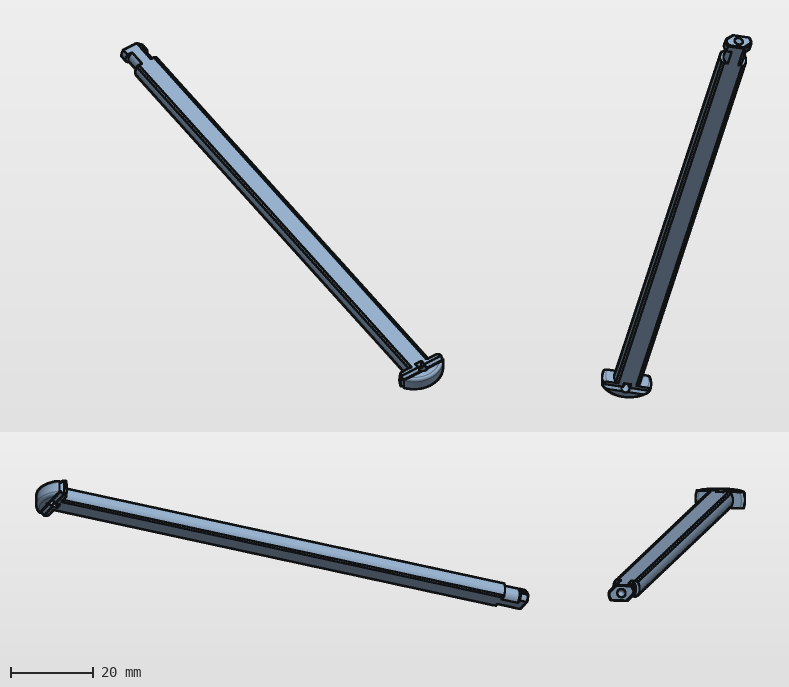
import cadquery as cq
import math

length = 128.8
thickness = 4.0
half_thickness = thickness / 2

shaft_diameter = 6.6
shaft_edge_chamfer = 0.4

tip_length = 2.0
tip_end_chamfer = 0.3
neck_end = 6.3
neck_diameter = 4.8
dimple_diameter = 2.0
dimple_cone_angle = 90

tip_relief_flats = [(45, neck_diameter), (67.5, 5.8)]

rim_start = 123.7
rim_thickness = 0.9
rim_end = rim_start + rim_thickness
rim_diameter = 12.2
rim_fillet = 0.8
dome_width = 11.6
dome_arc_start = 125.8
dome_edge_fillet = 0.8

groove_x = 125.5
groove_depth = 0.8
cross_hole_diameter = 2.0

recess_end = 123.5
recess_width = 1.8
recess_depth = 1.2
recess_wall_angle = 30


def x_cylinder(start, end, diameter):
    return cq.Workplane("YZ", origin=(start, 0, 0)).circle(diameter / 2).extrude(end - start)


def flattened(body):
    """Keep the part of a body that lies between the two flat Z faces."""
    slab = cq.Workplane("XY").box(length, rim_diameter, thickness).translate((length / 2, 0, 0))
    return body.intersect(slab)


def make_tip():
    tip = flattened(x_cylinder(0, tip_length, shaft_diameter))
    for angle, width_across in tip_relief_flats:
        relief_slab = (
            cq.Workplane("YZ")
            .rect(2 * shaft_diameter, width_across)
            .extrude(tip_length)
            .rotate((0, 0, 0), (1, 0, 0), -angle)
        )
        tip = tip.intersect(relief_slab)
    return tip.faces("<X").chamfer(tip_end_chamfer)


def make_neck():
    return flattened(x_cylinder(tip_length, neck_end, neck_diameter))


def make_shaft():
    shaft = flattened(x_cylinder(neck_end, rim_end, shaft_diameter))
    return shaft.edges("|X").chamfer(shaft_edge_chamfer)


def make_rim():
    rim = x_cylinder(rim_start, rim_end, rim_diameter)
    return flattened(rim.faces("<X").edges().fillet(rim_fillet))


def make_dome():
    half_width = dome_width / 2
    dome = (
        cq.Workplane("XY", origin=(0, 0, -half_thickness))
        .moveTo(rim_end, -half_width)
        .lineTo(dome_arc_start, -half_width)
        .threePointArc((length, 0), (dome_arc_start, half_width))
        .lineTo(rim_end, half_width)
        .close()
        .extrude(thickness)
    )
    return dome.faces("|Z").edges("%CIRCLE").fillet(dome_edge_fillet)


def make_groove():
    """V groove cutter for the +Z flat, with walls at 45 degrees."""
    return (
        cq.Workplane("XZ", origin=(0, rim_diameter / 2, 0))
        .moveTo(groove_x - groove_depth, half_thickness)
        .lineTo(groove_x + groove_depth, half_thickness)
        .lineTo(groove_x, half_thickness - groove_depth)
        .close()
        .extrude(rim_diameter)
    )


def make_recess():
    """Recess cutter for the +Z flat, with sloping walls."""
    recess_length = groove_x - recess_end
    return (
        cq.Workplane("XY", origin=(recess_end + recess_length / 2, 0, half_thickness))
        .rect(recess_length, recess_width)
        .extrude(-recess_depth, taper=recess_wall_angle)
    )


def make_cross_hole():
    return (
        cq.Workplane("XY", origin=(groove_x, 0, -half_thickness))
        .circle(cross_hole_diameter / 2)
        .extrude(thickness)
    )


def make_dimple():
    """Conical centre dimple in the end of the tip."""
    radius = dimple_diameter / 2
    depth = radius / math.tan(math.radians(dimple_cone_angle / 2))
    half_section = cq.Workplane("XY").polyline([(0, 0), (0, radius), (depth, 0)]).close()
    return half_section.revolve(360, (0, 0, 0), (1, 0, 0))


result = make_tip()
for section in (make_neck(), make_shaft(), make_rim(), make_dome()):
    result = result.union(section)

for cutter in (make_groove(), make_recess()):
    result = result.cut(cutter).cut(cutter.mirror("XY"))

result = result.cut(make_cross_hole()).cut(make_dimple())